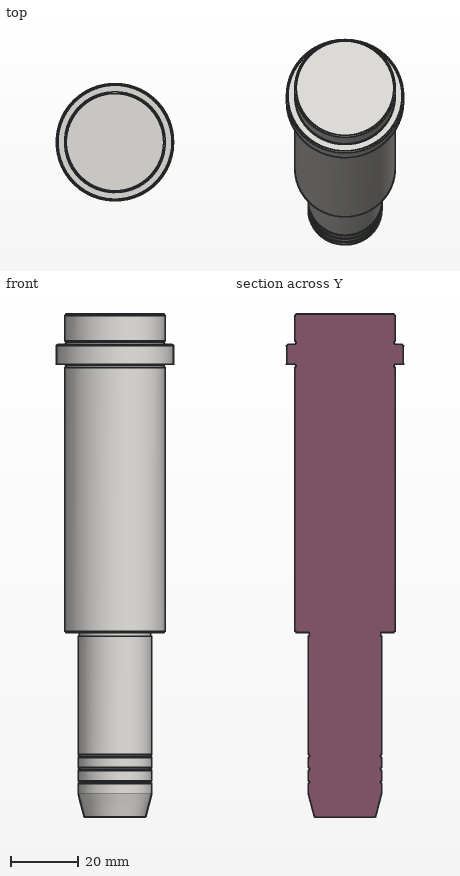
import cadquery as cq

total_height = 150.0
head_height = 9.0
collar_height = 6.0
pin_length = 55.0
collar_top = total_height - head_height
collar_bottom = collar_top - collar_height

collar_diameter = 35.0
body_diameter = 30.0
pin_diameter = 22.0
tip_diameter = 18.3

edge_chamfer = 0.5
groove_depth = 0.5
neck_height = 1.0
neck_depth = 0.3
nose_length = 7.2
tip_chamfer = 0.3

groove_count = 3
groove_pitch = 3.9
lowest_groove_height = 10.5


def cylinder(diameter, bottom, top):
    return cq.Workplane("XY").workplane(offset=bottom).circle(diameter / 2).extrude(top - bottom)


def ring_cut(diameter, center_height):
    """Ring that cuts a 45 degree V groove into a cylinder of the given diameter."""
    radius = diameter / 2
    return (
        cq.Workplane("XZ")
        .moveTo(radius, center_height - groove_depth)
        .lineTo(radius - groove_depth, center_height)
        .lineTo(radius, center_height + groove_depth)
        .close()
        .revolve(360, (0, 0), (0, 1))
    )


def make_neck():
    """Slightly reduced neck where the pin meets the body."""
    return cylinder(pin_diameter - 2 * neck_depth, pin_length - neck_height, pin_length)


def make_pin():
    nose = (
        cq.Workplane("XY")
        .circle(tip_diameter / 2)
        .workplane(offset=nose_length)
        .circle(pin_diameter / 2)
        .loft(ruled=True)
        .faces("<Z")
        .chamfer(tip_chamfer)
    )
    pin = nose.union(cylinder(pin_diameter, nose_length, pin_length - neck_height))
    for index in range(groove_count):
        height = lowest_groove_height + index * groove_pitch
        pin = pin.cut(ring_cut(pin_diameter, height))
    return pin.union(make_neck())


def make_body():
    body = cylinder(body_diameter, pin_length, collar_bottom).faces("<Z").chamfer(edge_chamfer)
    return body.cut(ring_cut(body_diameter, collar_bottom - groove_depth))


def make_collar():
    return cylinder(collar_diameter, collar_bottom, collar_top).faces(">Z").chamfer(edge_chamfer)


def make_head():
    head = cylinder(body_diameter, collar_top, total_height).faces(">Z").chamfer(edge_chamfer)
    return head.cut(ring_cut(body_diameter, collar_top + groove_depth))


result = make_pin().union(make_body()).union(make_collar()).union(make_head())